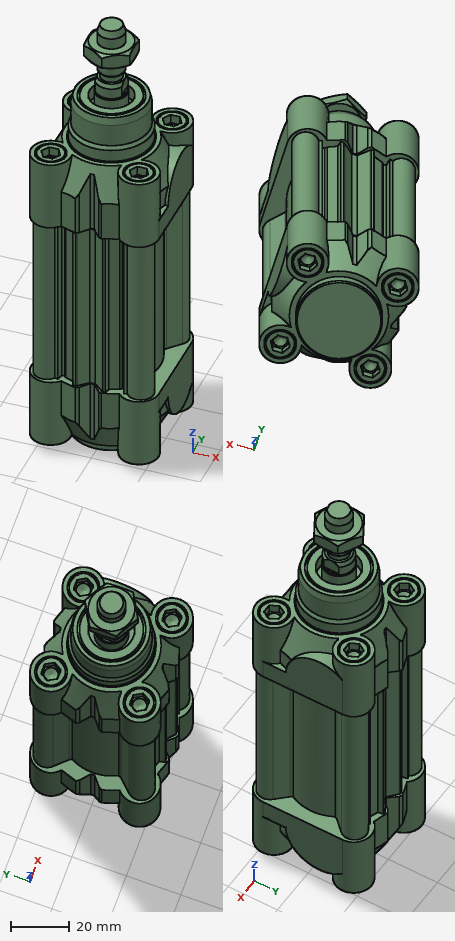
import cadquery as cq
import math

OVERALL_LENGTH = 171.0
REAR_COLLAR_LENGTH = 4.0
CAP_LENGTH = 26.7
REAR_CAP_TOP = REAR_COLLAR_LENGTH + CAP_LENGTH
FRONT_CAP_TOP = 123.1
FRONT_CAP_BOTTOM = FRONT_CAP_TOP - CAP_LENGTH

BOSS_PITCH = 32.5
BOSS_DIAMETER = 14.5
CAP_HALF_WIDTH = (BOSS_PITCH + BOSS_DIAMETER) / 2
WEB_SIDE = BOSS_DIAMETER / 2
WEB_OFFSET = (BOSS_PITCH - WEB_SIDE) / 2
CORNERS = [(-1, -1), (-1, 1), (1, -1), (1, 1)]
BOSS_CENTRES = [(x * BOSS_PITCH / 2, y * BOSS_PITCH / 2) for x, y in CORNERS]
WEB_CENTRES = [(x * WEB_OFFSET, y * WEB_OFFSET) for x, y in CORNERS]
SCREW_HEAD_DIAMETER = 10.0
SCREW_RECESS_DIAMETER = 11.1
SCREW_RECESS_DEPTH = 1.0
SOCKET_FLATS = 6.0
SOCKET_CORNERS = SOCKET_FLATS / math.cos(math.pi / 6)
SOCKET_DEPTH = 3.5
SOCKET_CONE_DIAMETER = 5.0
SOCKET_CONE_DEPTH = 1.5

CAP_CONE_RADIUS = 17.1
CAP_CONE_SLOPE = 1.9
CAP_NOTCH_FLOOR_POINT = (0.7, 18.8)
CAP_RIB_POINTS = [(3.6, 22.2), (4.8, 22.9), (11.0, 20.9)]
PORT_BOSS_RADIUS = 13.7
PORT_BOSS_OFFSET = 6.8
PORT_BOSS_DROP = 5.1

COLLAR_DIAMETER = 30.0
REAR_COLLAR_CHAMFER = 0.5
COLLAR_STEP_DIAMETER = 30.8
COLLAR_STEP_HEIGHT = 0.3
COLLAR_LENGTH = 5.0
COLLAR_TAPER_LENGTH = 1.4
NOSE_DIAMETER = 28.0
NOSE_TOP = 140.9
NOSE_CHAMFER_RADIUS = 0.7
NOSE_CHAMFER_LENGTH = 2.7
SEAL_GROOVE_DIAMETER = 23.6
SEAL_DIAMETER = 22.0
SEAL_GROOVE_DEPTH = 0.7
SEAL_BORE_DIAMETER = 16.0
SEAL_BORE_DEPTH = 5.1

ROD_DIAMETER = 12.0
ROD_HEAD_DIAMETER = 11.6
ROD_TAPER_BOTTOM = 143.0
ROD_TAPER_TOP = 143.5
ROD_FLATS = 10.0
ROD_FLATS_BOTTOM = 144.0
ROD_SHOULDER_TOP = 149.1
ROD_SHOULDER_CHAMFER_LENGTH = 1.5
NECK_DIAMETER = 8.0
NECK_TOP = 151.3
THREAD_DIAMETER = 10.0
THREAD_RUNOUT_LENGTH = 1.0
TIP_DIAMETER = 8.0
TIP_LENGTH = 2.7

NUT_FLATS = 17.0
NUT_CORNERS = NUT_FLATS / math.cos(math.pi / 6)
NUT_HEIGHT = 6.0
NUT_BOTTOM = 158.0
NUT_FACE_DIAMETER = 16.0
NUT_CHAMFER_ANGLE = math.radians(30)

BARREL_HALF_WIDTH = 22.0
BARREL_CORNER_RADIUS = 4.8
BARREL_CORNER_CENTRE = BARREL_HALF_WIDTH - BARREL_CORNER_RADIUS
BARREL_TUBE_RADIUS = 18.1
TUBE_EDGE_OFFSET = 8.5
TUBE_STEP_POINT = (16.6, 9.5)
CORNER_END_OFFSET = 13.3
BARREL_SLOT_POINTS = [(12.1, 20.3), (11.6, 17.8), (10.6, 17.8), (10.0, 18.5)]
BARREL_RIB_POINTS = [(6.5, 19.8), (6.0, 21.9), (5.0, 21.9), (4.5, 21.5), (1.0, 18.5)]


def disc(diameter, bottom, height):
    return cq.Workplane("XY").workplane(offset=bottom).circle(diameter / 2).extrude(height)


def revolved(points):
    """Solid of revolution about Z from (radius, height) points."""
    return cq.Workplane("XZ").polyline(points).close().revolve(360, (0, 0, 0), (0, 1, 0))


def mirrored_points(points):
    """The points followed by their mirror images across the Y axis of the sketch."""
    return points + [(-x, y) for x, y in reversed(points)]


def cap_outline():
    """Prism around the cap: three notched, ribbed sides and an unnotched one at +X."""
    outer_to_inner = list(reversed(CAP_RIB_POINTS))
    side = mirrored_points(outer_to_inner + [CAP_NOTCH_FLOOR_POINT])
    outline = list(side)
    outline += [(-y, x) for x, y in side]
    outline += [(-x, -y) for x, y in side]
    outline += [(y, -x) for x, y in mirrored_points(outer_to_inner[:2])]
    return cq.Workplane("XY").polyline(outline).close().extrude(CAP_LENGTH)


def cap_cone():
    """Cone that bevels the ribs towards the end face of the cap."""
    bottom_radius = CAP_CONE_RADIUS + CAP_LENGTH / CAP_CONE_SLOPE
    return revolved([(0, 0), (bottom_radius, 0), (CAP_CONE_RADIUS, CAP_LENGTH), (0, CAP_LENGTH)])


def port_boss():
    """Round-crowned port boss along X, with a base that fills the space between the corner bosses."""
    centre_height = CAP_LENGTH - PORT_BOSS_DROP - PORT_BOSS_RADIUS
    boss = (
        cq.Workplane("YZ")
        .center(PORT_BOSS_OFFSET, centre_height)
        .circle(PORT_BOSS_RADIUS)
        .extrude(CAP_HALF_WIDTH)
    )
    clip = cq.Workplane("XY").rect(2 * CAP_HALF_WIDTH, BOSS_PITCH).extrude(CAP_LENGTH)
    base = cq.Workplane("XY").rect(CAP_HALF_WIDTH, BOSS_PITCH).extrude(centre_height)
    return boss.intersect(clip).union(base.translate((CAP_HALF_WIDTH / 2, 0, 0)))


def socket_screw_cut():
    """Groove around a screw head and its hexagon socket with a conical floor."""
    groove = disc(SCREW_RECESS_DIAMETER, CAP_LENGTH - SCREW_RECESS_DEPTH, SCREW_RECESS_DEPTH)
    groove = groove.cut(disc(SCREW_HEAD_DIAMETER, 0, CAP_LENGTH))
    floor = CAP_LENGTH - SOCKET_DEPTH
    socket = cq.Workplane("XY").workplane(offset=floor).polygon(6, SOCKET_CORNERS).extrude(SOCKET_DEPTH)
    cone = revolved([(0, floor), (SOCKET_CONE_DIAMETER / 2, floor), (0, floor - SOCKET_CONE_DEPTH)])
    return groove.union(socket).union(cone)


def cap_block():
    """Cap standing on Z = 0 with its screwed end face up."""
    block = cap_outline().intersect(cap_cone()).union(port_boss())
    bosses = cq.Workplane("XY").pushPoints(BOSS_CENTRES).circle(BOSS_DIAMETER / 2).extrude(CAP_LENGTH)
    webs = cq.Workplane("XY").pushPoints(WEB_CENTRES).rect(WEB_SIDE, WEB_SIDE).extrude(CAP_LENGTH)
    block = block.union(bosses).union(webs)
    for x, y in BOSS_CENTRES:
        block = block.cut(socket_screw_cut().translate((x, y, 0)))
    return block


def make_rear_cap():
    block = cap_block().mirror("XY").translate((0, 0, REAR_CAP_TOP))
    collar = disc(COLLAR_DIAMETER, 0, REAR_COLLAR_LENGTH).faces("<Z").chamfer(REAR_COLLAR_CHAMFER)
    return block.union(collar)


def make_front_cap():
    block = cap_block().translate((0, 0, FRONT_CAP_BOTTOM))
    step = disc(COLLAR_STEP_DIAMETER, FRONT_CAP_TOP, COLLAR_STEP_HEIGHT)
    collar_top = FRONT_CAP_TOP + COLLAR_LENGTH
    nose_radius = NOSE_DIAMETER / 2
    nose = revolved([
        (0, FRONT_CAP_TOP),
        (COLLAR_DIAMETER / 2, FRONT_CAP_TOP),
        (COLLAR_DIAMETER / 2, collar_top),
        (nose_radius, collar_top + COLLAR_TAPER_LENGTH),
        (nose_radius, NOSE_TOP - NOSE_CHAMFER_LENGTH),
        (nose_radius - NOSE_CHAMFER_RADIUS, NOSE_TOP),
        (0, NOSE_TOP),
    ])
    seal_groove = disc(SEAL_GROOVE_DIAMETER, NOSE_TOP - SEAL_GROOVE_DEPTH, SEAL_GROOVE_DEPTH)
    seal_groove = seal_groove.cut(disc(SEAL_DIAMETER, 0, NOSE_TOP))
    seal_bore = disc(SEAL_BORE_DIAMETER, NOSE_TOP - SEAL_BORE_DEPTH, SEAL_BORE_DEPTH)
    rod_bore = disc(ROD_DIAMETER, FRONT_CAP_BOTTOM, NOSE_TOP - FRONT_CAP_BOTTOM)
    return block.union(step).union(nose).cut(seal_groove).cut(seal_bore).cut(rod_bore)


def make_barrel():
    """Solid profiled barrel: slotted sides at -Y and +Y, plain round sides at -X and +X."""
    centre = BARREL_CORNER_CENTRE
    radius = BARREL_CORNER_RADIUS
    corner_mid = centre + radius * math.sqrt(0.5)
    tube_x = math.sqrt(BARREL_TUBE_RADIUS**2 - TUBE_EDGE_OFFSET**2)

    step_x, step_y = TUBE_STEP_POINT
    step_distance = math.hypot(step_x - centre, step_y - centre)
    tangent_angle = math.atan2(step_y - centre, step_x - centre) + math.acos(radius / step_distance)
    wall_x = centre + radius * math.cos(tangent_angle)
    wall_y = centre + radius * math.sin(tangent_angle)
    corner_end_y = centre + math.sqrt(radius**2 - (centre - CORNER_END_OFFSET) ** 2)
    slotted_side = mirrored_points(BARREL_SLOT_POINTS + BARREL_RIB_POINTS)

    profile = cq.Workplane("XY").workplane(offset=REAR_CAP_TOP).moveTo(tube_x, -TUBE_EDGE_OFFSET)
    for side in (1, -1):
        profile = (
            profile.threePointArc((side * BARREL_TUBE_RADIUS, 0), (side * tube_x, side * TUBE_EDGE_OFFSET))
            .lineTo(side * step_x, side * step_y)
            .lineTo(side * wall_x, side * wall_y)
            .threePointArc((side * corner_mid, side * corner_mid), (side * CORNER_END_OFFSET, side * corner_end_y))
        )
        for x, y in slotted_side:
            profile = profile.lineTo(side * x, side * y)
        profile = (
            profile.lineTo(-side * CORNER_END_OFFSET, side * corner_end_y)
            .threePointArc((-side * corner_mid, side * corner_mid), (-side * wall_x, side * wall_y))
            .lineTo(-side * step_x, side * step_y)
            .lineTo(-side * tube_x, side * TUBE_EDGE_OFFSET)
        )
    return profile.close().extrude(FRONT_CAP_BOTTOM - REAR_CAP_TOP)


def make_piston_rod():
    rod_radius = ROD_DIAMETER / 2
    head_radius = ROD_HEAD_DIAMETER / 2
    thread_radius = THREAD_DIAMETER / 2
    neck_radius = NECK_DIAMETER / 2
    rod = revolved([
        (0, FRONT_CAP_BOTTOM),
        (rod_radius, FRONT_CAP_BOTTOM),
        (rod_radius, ROD_TAPER_BOTTOM),
        (head_radius, ROD_TAPER_TOP),
        (head_radius, ROD_SHOULDER_TOP - ROD_SHOULDER_CHAMFER_LENGTH),
        (thread_radius, ROD_SHOULDER_TOP),
        (neck_radius, ROD_SHOULDER_TOP),
        (neck_radius, NECK_TOP),
        (thread_radius, NECK_TOP + THREAD_RUNOUT_LENGTH),
        (thread_radius, OVERALL_LENGTH - TIP_LENGTH),
        (TIP_DIAMETER / 2, OVERALL_LENGTH),
        (0, OVERALL_LENGTH),
    ])
    flats_height = ROD_SHOULDER_TOP - ROD_FLATS_BOTTOM
    flats_band = cq.Workplane("XY").workplane(offset=ROD_FLATS_BOTTOM)
    outside_flats = (
        flats_band.rect(2 * ROD_DIAMETER, 2 * ROD_DIAMETER)
        .extrude(flats_height)
        .cut(flats_band.rect(ROD_FLATS, 2 * ROD_DIAMETER).extrude(flats_height))
    )
    return rod.cut(outside_flats)


def make_nut():
    hexagon = cq.Workplane("XY").polygon(6, NUT_CORNERS).extrude(NUT_HEIGHT)
    hexagon = hexagon.rotate((0, 0, 0), (0, 0, 1), 90)
    face_radius = NUT_FACE_DIAMETER / 2
    corner_radius = NUT_CORNERS / 2
    chamfer = (corner_radius - face_radius) * math.tan(NUT_CHAMFER_ANGLE)
    envelope = revolved([
        (0, 0),
        (face_radius, 0),
        (corner_radius, chamfer),
        (corner_radius, NUT_HEIGHT - chamfer),
        (face_radius, NUT_HEIGHT),
        (0, NUT_HEIGHT),
    ])
    nut = hexagon.intersect(envelope).cut(disc(THREAD_DIAMETER, 0, NUT_HEIGHT))
    return nut.translate((0, 0, NUT_BOTTOM))


rear_cap = make_rear_cap()
barrel = make_barrel()
front_cap = make_front_cap()
piston_rod = make_piston_rod()
nut = make_nut()

result = cq.Compound.makeCompound(
    [rear_cap.val(), barrel.val(), front_cap.val(), piston_rod.val(), nut.val()]
)